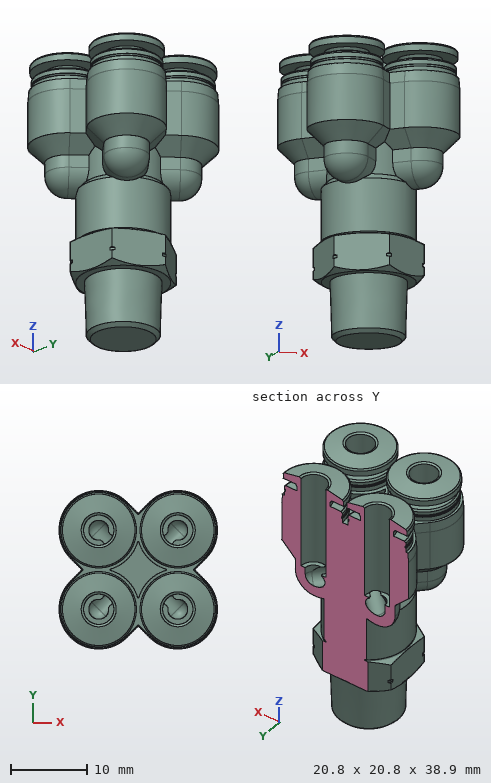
import cadquery as cq
import math

TOTAL_HEIGHT = 38.9
OVERALL_WIDTH = 20.77
CUP_RADIUS = 5.2
POD_OFFSET = OVERALL_WIDTH / 2 - CUP_RADIUS
PORT_COUNT = 4
FIRST_PORT_ANGLE = 45
ARM_LENGTH = POD_OFFSET * math.sqrt(2)

THREAD_END_RADIUS = 4.85
THREAD_TAPER = 1 / 32
THREAD_CHAMFER = 0.55
NUT_BOTTOM = 7.95
NUT_TOP = 13.07
NUT_ACROSS_FLATS = 12.72
NUT_SIDES = 6
NUT_TURN = 30
NUT_FACE_RADIUS = 6.22
NUT_TOP_ANGLE = 15
NUT_BOTTOM_ANGLE = 30
NOTCH_Z = 9.95
NOTCH_MOUTH = 0.55
NOTCH_ROOT = 0.3
NOTCH_DEPTH = 0.2

COLUMN_RADIUS = 12.5 / 2
COLUMN_FOOT_CHAMFER = 0.2
COLUMN_SHOULDER = 20.45
CORE_BOTTOM = 21.2
CORE_RADIUS = 5.55

CUP_TOP = 34.6
CUP_DRAFT_START = 33.1
CUP_DRAFT = 0.1
CUP_BOTTOM = 26.88
POD_RADIUS = 3.0
POD_BALL_Z = 22.9
CONE_BOTTOM = CUP_BOTTOM - (CUP_RADIUS - POD_RADIUS)

HOLLOW_WALL_RADIUS = 5.33
HOLLOW_FLOOR = CUP_DRAFT_START
HOLLOW_TIP_FILLET = 0.08

PLUG_RADIUS = 4.75
PLUG_TOP = 36.35
PLUG_CHAMFER = 0.25
GROOVE_TOP = 35.5
GROOVE_BOTTOM = 35.25
GROOVE_DEPTH = 0.1
NECK_RADIUS = 5.4 / 2
FLARE_RADIUS = 5.87 / 2
FLARE_BOTTOM = 36.9
BUTTON_RADIUS = 4.95
BUTTON_BOTTOM = 37.3
BUTTON_RIM_Z = 38.15
DOME_EDGE_RADIUS = 4.75
DOME_EDGE_Z = 38.4

MOUTH_RADIUS = 2.3
MOUTH_DEPTH = 0.15
BORE_RADIUS = 2.0
BORE_FLOOR = 24.0
CHANNEL_RADIUS = 2.6 / 2


def revolve(profile):
    """Revolve a closed (radius, z) outline about the Z axis."""
    return cq.Workplane("XZ").polyline(profile).close().revolve(360, (0, 0), (0, 1))


def threaded_stub():
    top_radius = THREAD_END_RADIUS + THREAD_TAPER * (NUT_BOTTOM - THREAD_CHAMFER)
    return revolve([
        (0, 0),
        (THREAD_END_RADIUS - THREAD_CHAMFER, 0),
        (THREAD_END_RADIUS, THREAD_CHAMFER),
        (top_radius, NUT_BOTTOM),
        (0, NUT_BOTTOM),
    ])


def hex_nut():
    corner = NUT_ACROSS_FLATS / math.sqrt(3)
    beyond = corner + 0.4
    overhang = beyond - NUT_FACE_RADIUS
    top_drop = overhang * math.tan(math.radians(NUT_TOP_ANGLE))
    bottom_rise = overhang * math.tan(math.radians(NUT_BOTTOM_ANGLE))
    envelope = revolve([
        (0, NUT_BOTTOM),
        (NUT_FACE_RADIUS, NUT_BOTTOM),
        (beyond, NUT_BOTTOM + bottom_rise),
        (beyond, NUT_TOP - top_drop),
        (NUT_FACE_RADIUS, NUT_TOP),
        (0, NUT_TOP),
    ])
    prism = (
        cq.Workplane("XY", origin=(0, 0, NUT_BOTTOM))
        .polygon(NUT_SIDES, 2 * corner)
        .extrude(NUT_TOP - NUT_BOTTOM)
        .rotate((0, 0, 0), (0, 0, 1), NUT_TURN)
    )
    notch_ring = revolve([
        (corner - NOTCH_DEPTH, NOTCH_Z - NOTCH_ROOT / 2),
        (corner, NOTCH_Z - NOTCH_MOUTH / 2),
        (corner, NOTCH_Z + NOTCH_MOUTH / 2),
        (corner - NOTCH_DEPTH, NOTCH_Z + NOTCH_ROOT / 2),
    ])
    return prism.intersect(envelope).cut(notch_ring)


def column():
    return revolve([
        (0, NUT_TOP),
        (COLUMN_RADIUS - COLUMN_FOOT_CHAMFER, NUT_TOP),
        (COLUMN_RADIUS, NUT_TOP + COLUMN_FOOT_CHAMFER),
        (COLUMN_RADIUS, COLUMN_SHOULDER),
        (CORE_RADIUS, CORE_BOTTOM),
        (CORE_RADIUS, CUP_BOTTOM),
        (0, CUP_BOTTOM),
    ])


def port_body():
    """Port body at its axis, with an arm of the same section running to the part axis."""
    profile = (
        cq.Workplane("XZ")
        .moveTo(0, POD_BALL_Z - POD_RADIUS)
        .radiusArc((POD_RADIUS, POD_BALL_Z), -POD_RADIUS)
        .lineTo(POD_RADIUS, CONE_BOTTOM)
        .lineTo(CUP_RADIUS, CUP_BOTTOM)
        .lineTo(CUP_RADIUS, CUP_DRAFT_START)
        .lineTo(CUP_RADIUS - CUP_DRAFT, CUP_TOP)
        .lineTo(0, CUP_TOP)
        .close()
    )
    round_end = profile.revolve(360, (0, 0), (0, 1))
    half_arm = profile.toPending().extrude(-ARM_LENGTH)
    arm = half_arm.union(half_arm.mirror("YZ"))
    return round_end.union(arm)


def release_assembly():
    """Grooved plug, neck and domed release button stacked on a port body."""
    return revolve([
        (0, CUP_TOP),
        (PLUG_RADIUS, CUP_TOP),
        (PLUG_RADIUS, GROOVE_BOTTOM),
        (PLUG_RADIUS - GROOVE_DEPTH, GROOVE_BOTTOM),
        (PLUG_RADIUS - GROOVE_DEPTH, GROOVE_TOP),
        (PLUG_RADIUS, GROOVE_TOP),
        (PLUG_RADIUS, PLUG_TOP - PLUG_CHAMFER),
        (PLUG_RADIUS - PLUG_CHAMFER, PLUG_TOP),
        (NECK_RADIUS, PLUG_TOP),
        (NECK_RADIUS, FLARE_BOTTOM),
        (FLARE_RADIUS, BUTTON_BOTTOM),
        (BUTTON_RADIUS, BUTTON_BOTTOM),
        (BUTTON_RADIUS, BUTTON_RIM_Z),
        (DOME_EDGE_RADIUS, DOME_EDGE_Z),
        (MOUTH_RADIUS, TOTAL_HEIGHT),
        (0, TOTAL_HEIGHT),
    ])


def port_cavity():
    """Tube bore with a lead-in, and the round-bottomed channel turning towards the part axis."""
    bore = revolve([
        (0, BORE_FLOOR),
        (BORE_RADIUS, BORE_FLOOR),
        (BORE_RADIUS, TOTAL_HEIGHT - MOUTH_DEPTH),
        (MOUTH_RADIUS, TOTAL_HEIGHT),
        (0, TOTAL_HEIGHT),
    ])
    drop = (
        cq.Workplane("XY", origin=(0, 0, POD_BALL_Z))
        .circle(CHANNEL_RADIUS)
        .extrude(BORE_FLOOR - POD_BALL_Z)
    )
    elbow = cq.Workplane("XY", origin=(0, 0, POD_BALL_Z)).sphere(CHANNEL_RADIUS)
    channel = (
        cq.Workplane("XZ", origin=(0, 0, POD_BALL_Z))
        .circle(CHANNEL_RADIUS)
        .extrude(-ARM_LENGTH)
    )
    return bore.union(drop).union(elbow).union(channel)


def place_at_ports(shape):
    """Four copies on the port axes, each with its +Y side turned towards the part axis."""
    outward = shape.translate((0, -ARM_LENGTH, 0))
    copies = cq.Workplane("XY")
    for index in range(PORT_COUNT):
        angle = FIRST_PORT_ANGLE + index * 360 / PORT_COUNT
        copies = copies.union(outward.rotate((0, 0, 0), (0, 0, 1), angle))
    return copies


def top_hollow():
    """Four-pointed hollow whose sides run concentric with the cups."""
    depth = CUP_TOP - HOLLOW_FLOOR
    hollow = (
        cq.Workplane("XY", origin=(0, 0, HOLLOW_FLOOR))
        .rect(2 * POD_OFFSET, 2 * POD_OFFSET)
        .extrude(depth)
    )
    wall = (
        cq.Workplane("XY", origin=(0, 0, HOLLOW_FLOOR))
        .circle(HOLLOW_WALL_RADIUS)
        .extrude(depth)
    )
    return hollow.cut(place_at_ports(wall)).edges("|Z").fillet(HOLLOW_TIP_FILLET)


result = (
    threaded_stub()
    .union(hex_nut())
    .union(column())
    .union(place_at_ports(port_body()))
    .cut(top_hollow())
    .union(place_at_ports(release_assembly()))
    .cut(place_at_ports(port_cavity()))
)